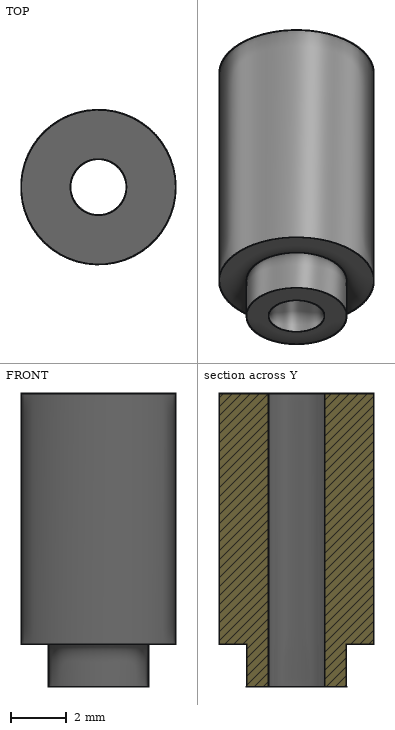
import cadquery as cq

total_length = 10.53
body_diameter = 5.56
spigot_diameter = 3.6
spigot_length = 1.53
bore_diameter = 2.0

body_length = total_length - spigot_length

spigot = cq.Workplane("XY").circle(spigot_diameter / 2).extrude(spigot_length)

body = spigot.faces(">Z").workplane().circle(body_diameter / 2).extrude(body_length)

result = body.faces(">Z").workplane().circle(bore_diameter / 2).cutThruAll()